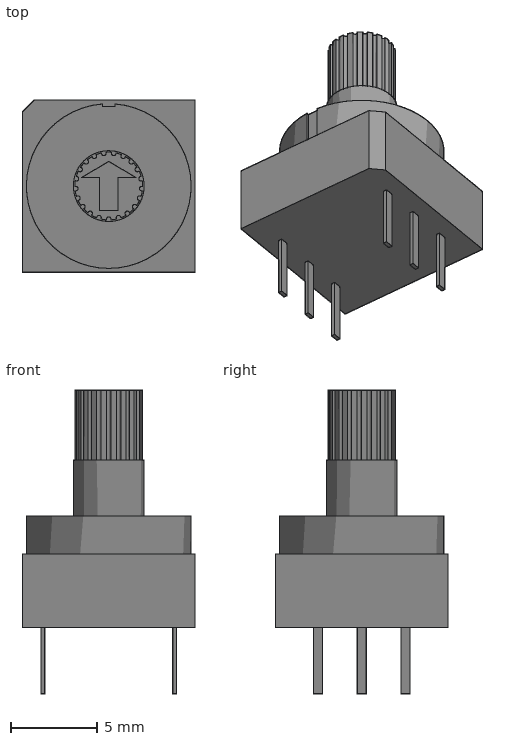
import cadquery as cq

PIN_LENGTH = 3.84
HOUSING_HEIGHT = 4.28
COLLAR_HEIGHT = 2.2
NECK_HEIGHT = 3.24
TOTAL_HEIGHT = 17.6

HOUSING_SIDE = 10.0
CORNER_CHAMFER = 0.69

COLLAR_DIAMETER = 9.54
NOTCH_WIDTH = 0.74
NOTCH_DEPTH = 0.15

NECK_DIAMETER = 4.1
GRIP_DIAMETER = 3.92
GROOVE_COUNT = 21
GROOVE_DIAMETER = 0.26
GROOVE_CENTER_RADIUS = 1.92

ARROW_LENGTH = 2.85
ARROW_HEAD_LENGTH = 0.93
ARROW_HEAD_WIDTH = 3.15
ARROW_STEM_WIDTH = 1.05
ARROW_DEPTH = 1.23

PIN_THICKNESS = 0.23
PIN_WIDTH = 0.53
PIN_PITCH = 2.53
PIN_ROW_SPACING = 7.62
PINS_PER_ROW = 3

housing_bottom = PIN_LENGTH
collar_bottom = housing_bottom + HOUSING_HEIGHT
collar_top = collar_bottom + COLLAR_HEIGHT
grip_bottom = collar_top + NECK_HEIGHT
grip_height = TOTAL_HEIGHT - grip_bottom


def cylinder(diameter, bottom, height):
    return cq.Workplane("XY").workplane(offset=bottom).circle(diameter / 2).extrude(height)


def make_housing():
    """Square block with its (-X, +Y) corner cut off."""
    block = cq.Workplane("XY").workplane(offset=housing_bottom)
    block = block.rect(HOUSING_SIDE, HOUSING_SIDE).extrude(HOUSING_HEIGHT)
    return block.edges("|Z").edges("<X").edges(">Y").chamfer(CORNER_CHAMFER)


def make_collar():
    """Disc with an index notch running down its full height."""
    collar = cylinder(COLLAR_DIAMETER, collar_bottom, COLLAR_HEIGHT)
    notch = (
        cq.Workplane("XY")
        .workplane(offset=collar_bottom)
        .center(0, COLLAR_DIAMETER / 2)
        .rect(NOTCH_WIDTH, 2 * NOTCH_DEPTH)
        .extrude(COLLAR_HEIGHT)
    )
    return collar.cut(notch)


def make_grip():
    """Grooved grip; the first groove lies on the -Y side."""
    grip = cylinder(GRIP_DIAMETER, grip_bottom, grip_height)
    grooves = (
        cq.Workplane("XY")
        .workplane(offset=grip_bottom)
        .polarArray(GROOVE_CENTER_RADIUS, -90, 360, GROOVE_COUNT)
        .circle(GROOVE_DIAMETER / 2)
        .extrude(grip_height)
    )
    return grip.cut(grooves)


def make_arrow_pocket():
    """Arrow pointing toward +Y, centred on the shaft axis."""
    tip_y = ARROW_LENGTH / 2
    head_y = tip_y - ARROW_HEAD_LENGTH
    half_head = ARROW_HEAD_WIDTH / 2
    half_stem = ARROW_STEM_WIDTH / 2
    outline = [
        (0, tip_y),
        (half_head, head_y),
        (half_stem, head_y),
        (half_stem, -tip_y),
        (-half_stem, -tip_y),
        (-half_stem, head_y),
        (-half_head, head_y),
    ]
    top = cq.Workplane("XY").workplane(offset=TOTAL_HEIGHT)
    return top.polyline(outline).close().extrude(-ARROW_DEPTH)


def make_pins():
    return (
        cq.Workplane("XY")
        .rarray(PIN_ROW_SPACING, PIN_PITCH, 2, PINS_PER_ROW)
        .rect(PIN_THICKNESS, PIN_WIDTH)
        .extrude(PIN_LENGTH)
    )


neck = cylinder(NECK_DIAMETER, collar_top, NECK_HEIGHT)
shaft = neck.union(make_grip()).cut(make_arrow_pocket())
result = make_housing().union(make_collar()).union(shaft).union(make_pins())